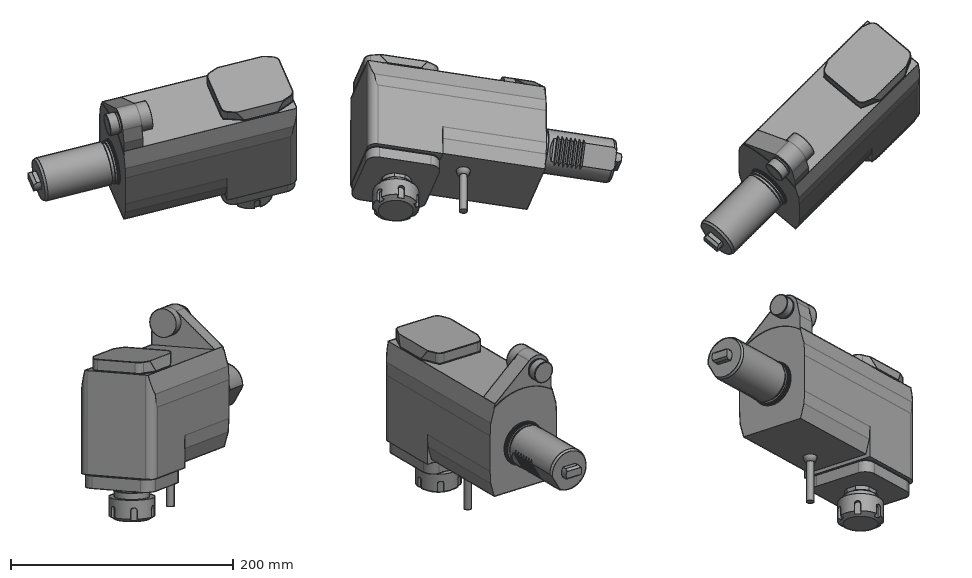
import cadquery as cq
import math


body_half_width = 37.0
body_top = 47.6
body_bottom = -43.8
body_rear = 164.5
facet_half_height = 17.7
edge_half_height = 30.0
edge_half_width = 36.3
facet_angle = 16.0
flange_disc_radius = 55.0
flange_relief = 0.5

head_front = 96.2
head_bottom = -47.5
head_corner_radius = 8.2
head_length = body_rear - head_front
head_center_y = (body_rear + head_front) / 2
cover_gap = 1.0
cover_gap_inset = 0.7

cover_top = 58.8
cover_flat_half_width = 23.2
cover_taper_run = 19.0
cover_corner_radius = 7.0
cover_edge_chamfer = 0.5

bottom_cover_top = head_bottom - cover_gap
bottom_cover_bottom = -59.7
bottom_cover_half_width = 34.0
bottom_cover_corner_radius = 10.2

bolt_x = 15.2
bolt_z = 70.1
lug_rear = 18.4
lug_radius = 13.0
lug_left_angle = 130.5
lug_right_angle = 13.0
lug_right_x = 31.2
bolt_head_rear = 28.8
bolt_tip = -10.2
bolt_diameter = 20.0
bolt_neck_diameter = 19.0
bolt_neck_end = -1.2
bolt_tip_chamfer = 0.5

shank_diameter = 40.0
shank_tip = -70.1
shank_chamfer_length = 2.5
shank_chamfer_depth = 1.2
shank_recess_diameter = 42.0
shank_recess_depth = 0.7
seal_groove_diameter = 36.0
seal_groove_start = -3.6
seal_groove_end = -6.8
collar_notch_center = -1.2
collar_notch_depth = 0.7

flat_direction = 210.0
flat_distance = 17.0
flat_front_edge = -11.5
tooth_count = 7
tooth_row_length = 24.0
tooth_pitch = tooth_row_length / (tooth_count - 1)
tooth_depth = 2.2
tooth_half_angle = 30.0
first_tooth_y = -15.2

tang_tip = -77.4
tang_diameter = 17.2
tang_thickness = 10.2
tang_chamfer_depth = 1.5
tang_chamfer_length = 3.1

neck_diameter = 29.0
neck_flats_width = 27.3
neck_groove_top = -63.5
neck_groove_diameter = 28.0
collar_top = -65.0
collar_diameter = 32.0
nut_top = -70.5
nut_bottom = -91.0
nut_diameter = 41.5
nut_chamfer_height = 3.1
nut_chamfer_depth = 5.0
nut_slot_count = 6
nut_slot_width = 5.8
nut_slot_top = -77.5
nut_slot_floor_radius = 18.0

nozzle_x = -11.0
nozzle_y = 70.4
nozzle_ball_diameter = 12.8
nozzle_tube_diameter = 7.0
nozzle_tube_bottom = -88.3


def plane_facing_front(y):
    """Sketch plane at the given Y with X to the right and Z up, facing -Y."""
    return cq.Workplane("XZ", origin=(0, y, 0))


def rod_along_y(x, z, diameter, y_front, y_rear):
    return plane_facing_front(y_rear).center(x, z).circle(diameter / 2).extrude(y_rear - y_front)


def rod_along_z(x, y, diameter, bottom, top):
    base = cq.Workplane("XY", origin=(x, y, bottom))
    return base.circle(diameter / 2).extrude(top - bottom)


def half_width_at(z):
    """Half width of the housing on the corner facets at height z."""
    facet_slope = math.tan(math.radians(facet_angle))
    return edge_half_width - facet_slope * (abs(z) - edge_half_height)


def mirrored_outline(right_side):
    """Close a list of right hand points with their mirror images in X = 0."""
    left_side = [(-x, z) for x, z in reversed(right_side)]
    return right_side + left_side


def upper_right_profile(top):
    return [
        (body_half_width, facet_half_height),
        (edge_half_width, edge_half_height),
        (half_width_at(top), top),
    ]


def lower_right_profile():
    return [
        (half_width_at(body_bottom), body_bottom),
        (edge_half_width, -edge_half_height),
        (body_half_width, -facet_half_height),
    ]


def make_housing():
    beam_outline = mirrored_outline(lower_right_profile() + upper_right_profile(body_top))
    beam_length = body_rear - flange_relief
    beam = plane_facing_front(body_rear).polyline(beam_outline).close().extrude(beam_length)

    head_outline = mirrored_outline([(body_half_width, head_bottom)] + upper_right_profile(body_top))
    head = plane_facing_front(body_rear).polyline(head_outline).close().extrude(head_length)

    housing_height = body_top - head_bottom
    rounded_block = (
        cq.Workplane("XY", origin=(0, body_rear / 2, head_bottom))
        .rect(2 * body_half_width, body_rear)
        .extrude(housing_height)
        .edges("|Z and >Y")
        .fillet(head_corner_radius)
    )
    return beam.union(head).intersect(rounded_block)


def make_flange_disc():
    """Thin raised face, the housing outline trimmed by a disc around the shank axis."""
    outline = mirrored_outline(lower_right_profile() + upper_right_profile(flange_disc_radius))
    plate = plane_facing_front(flange_relief).polyline(outline).close().extrude(flange_relief)
    disc = rod_along_y(0, 0, 2 * flange_disc_radius, 0, flange_relief)
    return plate.intersect(disc)


def make_lug():
    left_angle = math.radians(lug_left_angle)
    left_x = bolt_x + lug_radius * math.cos(left_angle)
    left_z = bolt_z + lug_radius * math.sin(left_angle)
    corner_x = left_x - (left_z - body_top) / math.tan(left_angle - math.pi / 2)
    right_angle = math.radians(lug_right_angle)
    right_x = bolt_x + lug_radius * math.cos(right_angle)
    right_z = bolt_z + lug_radius * math.sin(right_angle)
    tangent_reach = (lug_right_x - bolt_x) * math.cos(right_angle) - lug_radius
    upright_top = bolt_z - tangent_reach / math.sin(right_angle)
    return (
        plane_facing_front(lug_rear)
        .moveTo(corner_x, body_top)
        .lineTo(left_x, left_z)
        .threePointArc((bolt_x, bolt_z + lug_radius), (right_x, right_z))
        .lineTo(lug_right_x, upright_top)
        .lineTo(lug_right_x, 0)
        .lineTo(corner_x, 0)
        .close()
        .extrude(lug_rear - flange_relief)
    )


def make_bolt():
    head = rod_along_y(bolt_x, bolt_z, 2 * lug_radius, flange_relief, bolt_head_rear)
    neck = rod_along_y(bolt_x, bolt_z, bolt_neck_diameter, bolt_neck_end, flange_relief)
    tip = rod_along_y(bolt_x, bolt_z, bolt_diameter, bolt_tip, bolt_neck_end)
    tip = tip.faces("<Y").chamfer(bolt_tip_chamfer)
    return head.union(neck).union(tip)


def make_top_cover():
    """Tapered octagonal plate whose sides follow the corner facets of the housing."""
    half_length = head_length / 2
    wide_half_width = half_width_at(body_top)
    wide_half_length = half_length - cover_taper_run
    base_z = body_top + cover_gap
    outline = mirrored_outline([
        (cover_flat_half_width, -half_length),
        (wide_half_width, -wide_half_length),
        (wide_half_width, wide_half_length),
        (cover_flat_half_width, half_length),
    ])
    sketch = cq.Workplane("XY", origin=(0, head_center_y, base_z)).polyline(outline).close()
    plate = sketch.extrude(cover_top - base_z)
    plate = plate.edges("(>Y or <Y) and |Z").fillet(cover_corner_radius)
    plate = plate.faces(">Z").chamfer(cover_edge_chamfer)

    spacer = (
        cq.Workplane("XY", origin=(0, head_center_y, body_top))
        .polyline(outline)
        .close()
        .offset2D(-cover_gap_inset)
        .extrude(cover_gap)
    )
    facet_outline = mirrored_outline([
        (wide_half_width, body_top),
        (half_width_at(cover_top), cover_top),
    ])
    facet_limits = plane_facing_front(body_rear).polyline(facet_outline).close().extrude(head_length)
    return plate.union(spacer).intersect(facet_limits)


def make_bottom_cover():
    plate = (
        cq.Workplane("XY", origin=(0, head_center_y, bottom_cover_bottom))
        .rect(2 * bottom_cover_half_width, head_length)
        .extrude(bottom_cover_top - bottom_cover_bottom)
        .edges("|Z")
        .fillet(bottom_cover_corner_radius)
    )
    spacer = (
        cq.Workplane("XY", origin=(0, head_center_y, bottom_cover_top))
        .rect(2 * (bottom_cover_half_width - cover_gap_inset), head_length - 2 * cover_gap_inset)
        .extrude(cover_gap)
        .edges("|Z")
        .fillet(bottom_cover_corner_radius - cover_gap_inset)
    )
    return plate.union(spacer)


def make_shank():
    """Turned shank with a notched collar, a seal groove and a chamfered tip."""
    radius = shank_diameter / 2
    groove_radius = seal_groove_diameter / 2
    profile = [
        (0, shank_recess_depth),
        (radius, shank_recess_depth),
        (radius, collar_notch_center + collar_notch_depth),
        (radius - collar_notch_depth, collar_notch_center),
        (radius, collar_notch_center - collar_notch_depth),
        (radius, seal_groove_start),
        (groove_radius, seal_groove_start),
        (groove_radius, seal_groove_end),
        (radius, seal_groove_end),
        (radius, shank_tip + shank_chamfer_length),
        (radius - shank_chamfer_depth, shank_tip),
        (0, shank_tip),
    ]
    return cq.Workplane("XY").polyline(profile).close().revolve(360, (0, 0, 0), (0, 1, 0))


def make_clamping_flat_cutter():
    """Material outside the flat, running out at 45 degrees, with ridges that cut the teeth."""
    outside = shank_diameter
    tooth_half_width = tooth_depth * math.tan(math.radians(tooth_half_angle))
    outline = [
        (outside, flat_front_edge + (outside - flat_distance)),
        (flat_distance, flat_front_edge),
    ]
    for index in range(tooth_count):
        tooth_y = first_tooth_y - index * tooth_pitch
        outline += [
            (flat_distance, tooth_y + tooth_half_width),
            (flat_distance - tooth_depth, tooth_y),
            (flat_distance, tooth_y - tooth_half_width),
        ]
    outline += [(flat_distance, shank_tip), (outside, shank_tip)]
    cutter = cq.Workplane("XY").polyline(outline).close().extrude(shank_diameter / 2, both=True)
    return cutter.rotate((0, 0, 0), (0, 1, 0), -flat_direction)


def make_tang():
    tip_half = tang_thickness / 2 - tang_chamfer_depth
    chamfer_start = tang_tip + tang_chamfer_length
    side_outline = [
        (shank_tip, -tang_thickness / 2),
        (chamfer_start, -tang_thickness / 2),
        (tang_tip, -tip_half),
        (tang_tip, tip_half),
        (chamfer_start, tang_thickness / 2),
        (shank_tip, tang_thickness / 2),
    ]
    bar = cq.Workplane("YZ").polyline(side_outline).close().extrude(tang_diameter / 2, both=True)
    return bar.intersect(rod_along_y(0, 0, tang_diameter, tang_tip, shank_tip))


def make_collet_nut():
    y = head_center_y
    flats = (
        cq.Workplane("XY", origin=(0, y, collar_top))
        .rect(neck_flats_width, neck_flats_width)
        .extrude(bottom_cover_bottom - collar_top)
    )
    neck = rod_along_z(0, y, neck_diameter, neck_groove_top, bottom_cover_bottom)
    neck_groove = rod_along_z(0, y, neck_groove_diameter, collar_top, neck_groove_top)
    neck = neck.union(neck_groove).intersect(flats)
    collar = rod_along_z(0, y, collar_diameter, nut_top, collar_top)

    nut = rod_along_z(0, y, nut_diameter, nut_bottom, nut_top)
    nut = nut.faces("<Z").chamfer(nut_chamfer_height, nut_chamfer_depth)
    slot_radius = nut_slot_width / 2
    slot_height = nut_slot_top - slot_radius - nut_bottom
    slot = (
        cq.Workplane("YZ", origin=(nut_slot_floor_radius, 0, nut_bottom))
        .moveTo(-slot_radius, 0)
        .lineTo(-slot_radius, slot_height)
        .threePointArc((0, slot_height + slot_radius), (slot_radius, slot_height))
        .lineTo(slot_radius, 0)
        .close()
        .extrude(nut_diameter / 2)
    )
    for index in range(nut_slot_count):
        angle = index * 360 / nut_slot_count
        nut = nut.cut(slot.rotate((0, 0, 0), (0, 0, 1), angle).translate((0, y, 0)))
    return neck.union(collar).union(nut)


def make_nozzle():
    ball = cq.Workplane("XY", origin=(nozzle_x, nozzle_y, body_bottom)).sphere(nozzle_ball_diameter / 2)
    tube = rod_along_z(nozzle_x, nozzle_y, nozzle_tube_diameter, nozzle_tube_bottom, body_bottom)
    return ball.union(tube)


housing = make_housing().union(make_flange_disc()).union(make_lug())
shank_recess = rod_along_y(0, 0, shank_recess_diameter, 0, shank_recess_depth)
shank = make_shank().cut(make_clamping_flat_cutter()).union(make_tang())

result = (
    housing.cut(shank_recess)
    .union(shank)
    .union(make_bolt())
    .union(make_top_cover())
    .union(make_bottom_cover())
    .union(make_collet_nut())
    .union(make_nozzle())
)